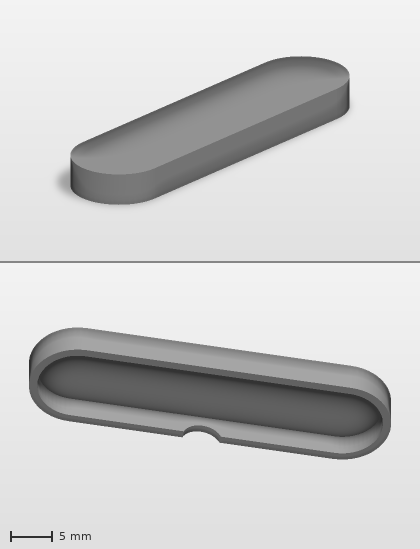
import cadquery as cq

length = 44.5
width = 11.8
height = 4.0
wall = 1.0
roof = wall

notch_radius = 2.5
notch_height = 1.5


def stadium(outline_length, outline_width, outline_height):
    """Upright prism with semicircular ends at +Y and -Y."""
    return cq.Workplane("XY").slot2D(outline_length, outline_width, 90).extrude(outline_height)


def make_cover():
    cavity = stadium(length - 2 * wall, width - 2 * wall, height - roof)
    return stadium(length, width, height).cut(cavity)


def make_notch():
    """Cylinder along X whose top cuts into the rim; it reaches from the -X face to mid-width."""
    return (
        cq.Workplane("YZ", origin=(-width / 2, 0, notch_height - notch_radius))
        .circle(notch_radius)
        .extrude(width / 2)
    )


result = make_cover().cut(make_notch())